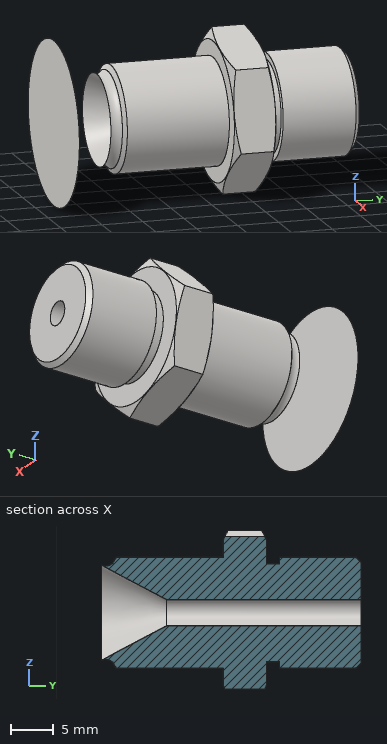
import cadquery as cq
import math

total_length = 35.5
thread_start = 26.0
hex_back = 24.5
hex_front = 19.42
barrel_front = 6.95
groove_back = 6.55
lip_front = 5.05

thread_diameter = 13.0
relief_diameter = 11.43
barrel_diameter = 13.0
groove_back_diameter = 11.65
groove_diameter = 10.95
lip_diameter = 11.32
bore_diameter = 3.0
bore_cone_angle = 28.0
thread_chamfer = 0.6

hex_across_flats = 17.0
hex_corner_angle = 42.5
hex_face_diameter = 16.9
hex_chamfer_angle = 22.0

disc_diameter = 19.95
disc_thickness = 0.05


def revolve_about_y(profile):
    """Turn a closed (radius, Y) profile about the Y axis."""
    return profile.close().revolve(360, (0, 0, 0), (0, 1, 0))


def make_turned_body():
    """Barrel with its curved neck groove, relief and chamfered thread."""
    thread_radius = thread_diameter / 2
    groove_middle = (groove_back + lip_front) / 2
    profile = (
        cq.Workplane("XY")
        .moveTo(0, lip_front)
        .lineTo(lip_diameter / 2, lip_front)
        .threePointArc(
            (groove_diameter / 2, groove_middle),
            (groove_back_diameter / 2, groove_back),
        )
        .lineTo(barrel_diameter / 2, barrel_front)
        .lineTo(barrel_diameter / 2, hex_front)
        .lineTo(relief_diameter / 2, hex_front)
        .lineTo(relief_diameter / 2, thread_start)
        .lineTo(thread_radius, thread_start)
        .lineTo(thread_radius, total_length - thread_chamfer)
        .lineTo(thread_radius - thread_chamfer, total_length)
        .lineTo(0, total_length)
    )
    return revolve_about_y(profile)


def make_hexagon():
    """Hexagon with both ends chamfered by a cone."""
    corner_radius = hex_across_flats / math.sqrt(3)
    face_radius = hex_face_diameter / 2
    chamfer_depth = (corner_radius - face_radius) * math.tan(math.radians(hex_chamfer_angle))
    prism = (
        cq.Workplane("XZ", origin=(0, hex_back, 0))
        .polygon(6, 2 * corner_radius)
        .extrude(hex_back - hex_front)
        .rotate((0, 0, 0), (0, 1, 0), -hex_corner_angle)
    )
    envelope = revolve_about_y(
        cq.Workplane("XY")
        .moveTo(0, hex_front)
        .lineTo(face_radius, hex_front)
        .lineTo(corner_radius, hex_front + chamfer_depth)
        .lineTo(corner_radius, hex_back - chamfer_depth)
        .lineTo(face_radius, hex_back)
        .lineTo(0, hex_back)
    )
    return prism.intersect(envelope)


def make_bore():
    """Cone running in from the sharp lip, then a straight bore through the thread end."""
    mouth_radius = lip_diameter / 2
    bore_radius = bore_diameter / 2
    cone_depth = (mouth_radius - bore_radius) / math.tan(math.radians(bore_cone_angle))
    profile = (
        cq.Workplane("XY")
        .moveTo(0, lip_front)
        .lineTo(mouth_radius, lip_front)
        .lineTo(bore_radius, lip_front + cone_depth)
        .lineTo(bore_radius, total_length)
        .lineTo(0, total_length)
    )
    return revolve_about_y(profile)


def make_fitting():
    """Turned body and hexagon in one piece, hollow from end to end."""
    return make_turned_body().union(make_hexagon()).cut(make_bore())


def make_disc():
    """Thin plain disc standing clear of the fitting's open end."""
    return cq.Workplane("XZ", origin=(0, disc_thickness, 0)).circle(disc_diameter / 2).extrude(disc_thickness)


fitting = make_fitting()
disc = make_disc()

result = cq.Compound.makeCompound([fitting.val(), disc.val()])